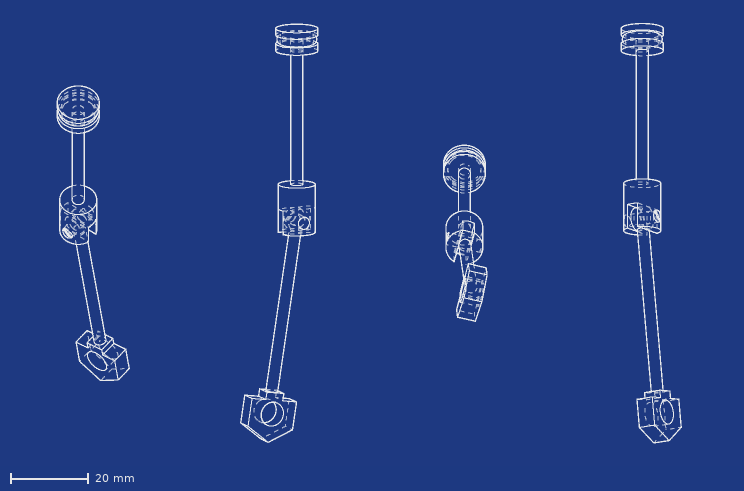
import cadquery as cq

piston_diameter = 11.0
piston_height = 6.0
top_land_height = 1.7
bottom_land_height = 2.0
groove_diameter = 8.7
ring_diameter = 10.4
groove_width = piston_height - top_land_height - bottom_land_height

rod_diameter = 3.1
rod_length = 35.4
rod_socket_depth = 2.7
clevis_diameter = 9.7
clevis_height = 12.7

plane_turn = -22
link_lean = 9.0
joint_height = 3.3
slot_height = 6.3
tongue_diameter = 2 * (slot_height - joint_height)
link_diameter = 3.1
tongue_thickness = link_diameter
screw_diameter = 3.1
driver_slot_width = 0.5
driver_slot_depth = 0.4
driver_slot_turn = -45

link_length = 51.0
eye_thickness = 4.8
eye_half_width = 6.4
eye_half_side = 3.7
eye_tip_drop = 7.5
eye_hole_diameter = 6.3
collar_width = 4.9
collar_top = 5.6

clevis_bottom = -joint_height
clevis_top = clevis_bottom + clevis_height
piston_bottom = clevis_top + rod_length
piston_top = piston_bottom + piston_height
groove_bottom = piston_bottom + bottom_land_height


def cylinder_z(diameter, bottom, top):
    return cq.Workplane("XY").workplane(offset=bottom).circle(diameter / 2).extrude(top - bottom)


def in_swing_plane(body):
    return body.rotate((0, 0, 0), (0, 0, 1), plane_turn)


def make_ring():
    middle = groove_bottom + groove_width / 2
    core_radius = groove_diameter / 2
    return (
        cq.Workplane("XZ")
        .moveTo(core_radius, groove_bottom)
        .threePointArc((ring_diameter / 2, middle), (core_radius, groove_bottom + groove_width))
        .close()
        .revolve(360, (0, 0), (0, 1))
    )


def make_piston():
    piston = cylinder_z(piston_diameter, piston_bottom, piston_top)
    groove_top = groove_bottom + groove_width
    groove = cylinder_z(piston_diameter, groove_bottom, groove_top)
    groove = groove.cut(cylinder_z(groove_diameter, groove_bottom, groove_top))
    socket = cylinder_z(rod_diameter, piston_bottom, piston_bottom + rod_socket_depth)
    return piston.cut(groove).cut(socket)


def make_screw_blank():
    return in_swing_plane(
        cq.Workplane("XZ").circle(screw_diameter / 2).extrude(clevis_diameter, both=True)
    ).intersect(cylinder_z(clevis_diameter, clevis_bottom, clevis_top))


def make_clevis_rod():
    clevis = cylinder_z(clevis_diameter, clevis_bottom, clevis_top)
    rod = cylinder_z(rod_diameter, clevis_top, piston_bottom + rod_socket_depth)
    slot = cq.Workplane("XY").box(
        2 * clevis_diameter, tongue_thickness, slot_height, centered=(True, True, False)
    ).translate((0, 0, clevis_bottom))
    return clevis.cut(in_swing_plane(slot)).cut(make_screw_blank()).union(rod)


def make_screw():
    driver_slot = (
        cq.Workplane("XZ", origin=(0, -clevis_diameter / 2 + driver_slot_depth, 0))
        .transformed(rotate=(0, 0, driver_slot_turn))
        .rect(2 * screw_diameter, driver_slot_width)
        .extrude(2 * driver_slot_depth)
    )
    return make_screw_blank().cut(in_swing_plane(driver_slot))


def make_link():
    tongue = cq.Workplane("XZ").circle(tongue_diameter / 2).extrude(tongue_thickness / 2, both=True)
    shank = cylinder_z(link_diameter, -link_length + collar_top, 0)
    eye = (
        cq.Workplane("XZ", origin=(0, 0, -link_length))
        .polyline([
            (-collar_width / 2, collar_top),
            (-collar_width / 2, eye_half_side),
            (-eye_half_width, eye_half_side),
            (-eye_half_width, -eye_half_side),
            (0, -eye_tip_drop),
            (eye_half_width, -eye_half_side),
            (eye_half_width, eye_half_side),
            (collar_width / 2, eye_half_side),
            (collar_width / 2, collar_top),
        ])
        .close()
        .moveTo(0, 0)
        .circle(eye_hole_diameter / 2)
        .extrude(eye_thickness / 2, both=True)
    )
    hole = cq.Workplane("XZ").circle(screw_diameter / 2).extrude(tongue_thickness, both=True)
    link = tongue.union(shank).union(eye).cut(hole)
    return in_swing_plane(link.rotate((0, 0, 0), (0, 1, 0), -link_lean))


piston = make_piston()
ring = make_ring()
clevis_rod = make_clevis_rod()
screw = make_screw()
link = make_link()

result = cq.Compound.makeCompound(
    [piston.val(), ring.val(), clevis_rod.val(), screw.val(), link.val()]
)